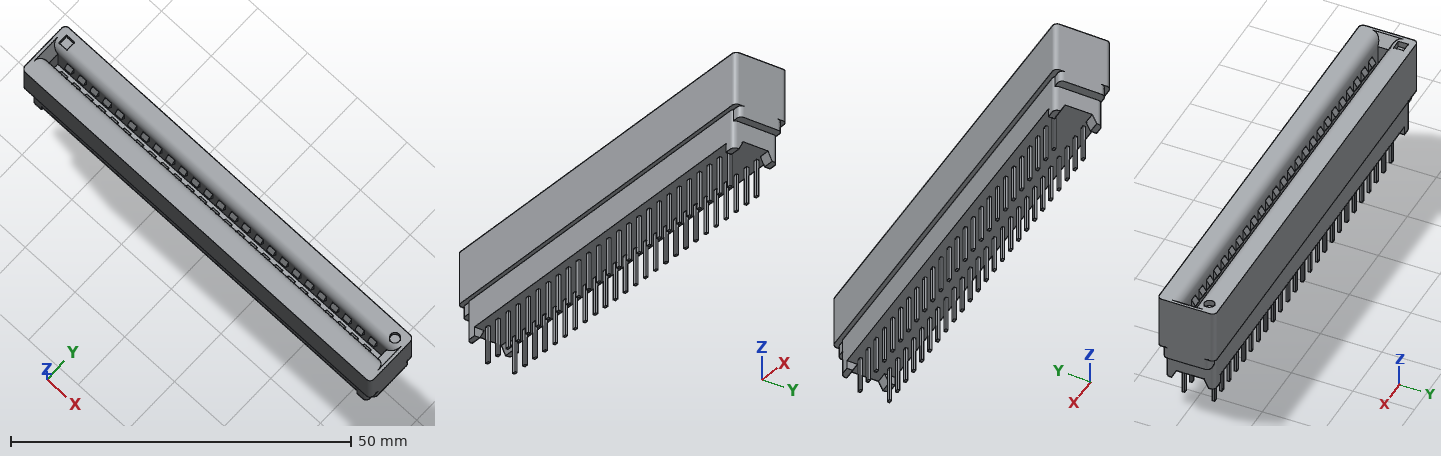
import cadquery as cq

overall_height = 20.24

head_length = 70.1
head_width = 9.37
head_height = 8.92
body_length = 67.3
body_width = 8.0
tongue_width = 7.65
tongue_drop = 1.93
corner_radius = 0.76

body_bottom = 6.22
foot_length = 1.95
foot_height = 1.5
foot_arch_top_width = 4.5
foot_arch_bottom_width = 6.0

contact_count = 25
contact_pitch = 2.54
pin_width = 0.64
pin_thickness = 0.4
pin_row_spacing = 4.85
spring_width = 1.3
spring_reach = 0.65
spring_half_height = 1.0
spring_crest_depth = 3.0

slot_width = 1.9
slot_depth = 7.0
lip_radius = 1.5
slot_length = 66.1
slot_mouth_length = slot_length + 2 * lip_radius
slot_mouth_width = slot_width + 2 * lip_radius

marker_size = 1.63
marker_depth = 1.0
marker_x = 33.0
marker_y = 2.82

top = overall_height
head_bottom = top - head_height
tongue_bottom = head_bottom - tongue_drop
foot_bottom = body_bottom - foot_height
slot_floor = top - slot_depth


def block(length, width, bottom, height, center_x=0.0, center_y=0.0):
    """Upright box, centred in plan, standing on the given height."""
    plan = cq.Workplane("XY", origin=(center_x, center_y, bottom))
    return plan.rect(length, width).extrude(height)


def housing_block(length, width, bottom, height):
    """Housing layer with rounded upright corners."""
    return block(length, width, bottom, height).edges("|Z").fillet(corner_radius)


def make_housing():
    head = housing_block(head_length, head_width, head_bottom, head_height)
    tongues = housing_block(head_length, tongue_width, tongue_bottom, head_height)
    body = housing_block(body_length, body_width, foot_bottom, top - foot_bottom)
    return head.union(tongues).union(body)


def make_foot_clearance():
    """Space under the body between the feet, plus the tapered arch through both feet."""
    clear_length = body_length - 2 * foot_length
    middle = block(clear_length, head_width, foot_bottom, foot_height)
    half_top = foot_arch_top_width / 2
    half_bottom = foot_arch_bottom_width / 2
    arch = (
        cq.Workplane("YZ")
        .moveTo(-half_bottom, foot_bottom)
        .lineTo(-half_top, body_bottom)
        .lineTo(half_top, body_bottom)
        .lineTo(half_bottom, foot_bottom)
        .close()
        .extrude(body_length / 2, both=True)
    )
    return middle.union(arch)


def make_card_slot():
    half_mouth = slot_mouth_width / 2
    half_slot = slot_width / 2
    lip_bottom = top - lip_radius
    across = (
        cq.Workplane("YZ")
        .moveTo(-half_mouth, top)
        .radiusArc((-half_slot, lip_bottom), lip_radius)
        .lineTo(-half_slot, slot_floor)
        .lineTo(half_slot, slot_floor)
        .lineTo(half_slot, lip_bottom)
        .radiusArc((half_mouth, top), lip_radius)
        .close()
        .extrude(slot_mouth_length / 2, both=True)
    )
    along = (
        cq.Workplane("XZ")
        .moveTo(-slot_mouth_length / 2, top)
        .lineTo(-slot_length / 2, lip_bottom)
        .lineTo(-slot_length / 2, slot_floor)
        .lineTo(slot_length / 2, slot_floor)
        .lineTo(slot_length / 2, lip_bottom)
        .lineTo(slot_mouth_length / 2, top)
        .close()
        .extrude(slot_mouth_width / 2, both=True)
    )
    return across.intersect(along)


def make_markers():
    """Square recess at the first contact and round recess at the last."""
    floor = top - marker_depth
    square = block(marker_size, marker_size, floor, marker_depth, -marker_x, marker_y)
    round_recess = (
        cq.Workplane("XY", origin=(marker_x, marker_y, floor))
        .circle(marker_size / 2)
        .extrude(marker_depth)
    )
    return square.union(round_recess)


def make_contact(x, side):
    """Pin below the body and bent spring inside the slot, on one side (+1 or -1) of the slot."""
    pin = block(pin_width, pin_thickness, 0, body_bottom, x, side * pin_row_spacing / 2)
    wall_y = side * slot_width / 2
    crest_y = wall_y - side * spring_reach
    crest_z = top - spring_crest_depth
    spring = (
        cq.Workplane("YZ", origin=(x, 0, 0))
        .moveTo(wall_y, crest_z + spring_half_height)
        .lineTo(crest_y, crest_z)
        .lineTo(wall_y, crest_z - spring_half_height)
        .close()
        .extrude(spring_width / 2, both=True)
    )
    return [pin.val(), spring.val()]


contacts = []
for index in range(contact_count):
    contact_x = (index - (contact_count - 1) / 2) * contact_pitch
    for side in (-1, 1):
        contacts.extend(make_contact(contact_x, side))

housing = make_housing().cut(make_foot_clearance()).cut(make_card_slot()).cut(make_markers())
result = cq.Workplane("XY").newObject([housing.val().fuse(*contacts)])